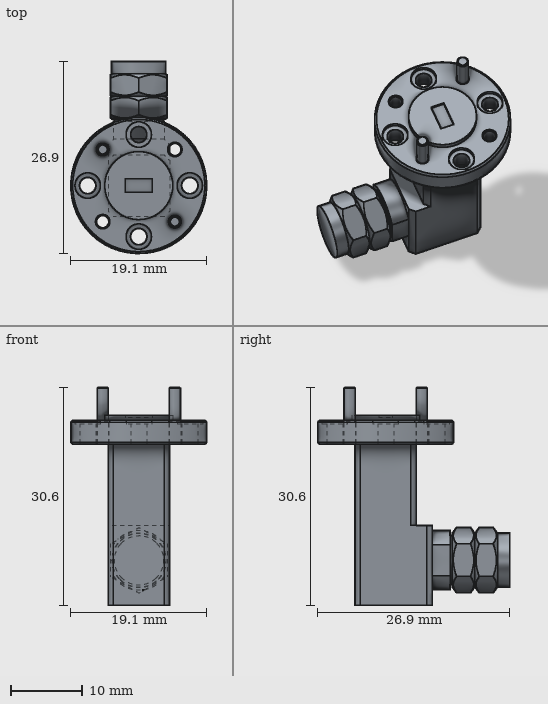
import cadquery as cq
import math


flange_diameter = 19.05
flange_bottom = 22.57
flange_top = 25.93
flange_thickness = flange_top - flange_bottom
flange_chamfer = 0.27
boss_diameter = 9.53
boss_height = 0.73

window_length = 3.82
window_width = 1.9
window_depth = 0.3

hole_circle_radius = 7.15
screw_hole_diameter = 2.25
counterbore_diameter = 3.57
counterbore_depth = 0.5
dowel_hole_diameter = 1.7
dowel_hole_chamfer = 0.15
screw_hole_angles = (0, 90, 180, 270)
dowel_hole_angles = (45, 225)
pin_angles = (135, 315)

pin_diameter = 1.6
pin_top = 30.55
pin_top_chamfer = 0.15
pin_hole_chamfer = 0.107

column_width = 8.6
corner_chamfer = 0.75
foot_front = 6.55
foot_height = 11.2

connector_height = 6.35
connector_end = 17.4
collar_radius = 4.18
collar_flat_distance = 3.57
collar_end = 9.05
neck_radius = 3.45
nut_across_flats = 7.95
nut_end_radius = 3.75
nut_chamfer_length = 0.6
nut_length = 3.18
nut_count = 2
nut_sides = 6
nuts_start = 9.3
nuts_end = nuts_start + nut_count * nut_length
sleeve_radius = 3.82


def circle_point(angle):
    """Point on the hole circle at an angle from +X."""
    turn = math.radians(angle)
    return hole_circle_radius * math.cos(turn), hole_circle_radius * math.sin(turn)


def upright_cylinder(diameter, bottom, height, center=(0, 0)):
    return cq.Workplane("XY", origin=(*center, bottom)).circle(diameter / 2).extrude(height)


def connector_plane(y):
    """Sketch plane across the connector axis, extruding toward +Y; local x is -X, local y is Z."""
    return cq.Workplane(cq.Plane(origin=(0, y, connector_height), xDir=(-1, 0, 0), normal=(0, 1, 0)))


def make_flange():
    disc = upright_cylinder(flange_diameter, flange_bottom, flange_thickness).edges().chamfer(flange_chamfer)
    return disc.union(upright_cylinder(boss_diameter, flange_top, boss_height))


def make_column():
    column = (
        cq.Workplane("XY")
        .rect(column_width, column_width)
        .extrude(flange_bottom)
        .edges("|Z")
        .chamfer(corner_chamfer)
    )
    foot = (
        cq.Workplane("XY")
        .center(0, foot_front / 2)
        .rect(column_width, foot_front)
        .extrude(foot_height)
        .edges("|Z and >Y")
        .chamfer(corner_chamfer)
    )
    return column.union(foot)


def make_nut(start):
    """Hexagon with corners up and down, both ends turned to a cone."""
    corner_radius = nut_across_flats / 2 / math.cos(math.pi / nut_sides)
    hexagon = (
        connector_plane(start)
        .transformed(rotate=(0, 0, 90))
        .polygon(nut_sides, 2 * corner_radius)
        .extrude(nut_length)
    )
    end = start + nut_length
    turned_blank = (
        cq.Workplane("XY", origin=(0, 0, connector_height))
        .moveTo(0, start)
        .lineTo(nut_end_radius, start)
        .lineTo(corner_radius, start + nut_chamfer_length)
        .lineTo(corner_radius, end - nut_chamfer_length)
        .lineTo(nut_end_radius, end)
        .lineTo(0, end)
        .close()
        .revolve(360, (0, 0, 0), (0, 1, 0))
    )
    return hexagon.intersect(turned_blank)


def make_connector():
    collar_length = collar_end - foot_front
    collar_flats = connector_plane(foot_front).rect(2 * collar_flat_distance, 2 * collar_radius)
    connector = (
        connector_plane(foot_front)
        .circle(collar_radius)
        .extrude(collar_length)
        .intersect(collar_flats.extrude(collar_length))
    )
    neck = connector_plane(collar_end).circle(neck_radius).extrude(nuts_start - collar_end)
    connector = connector.union(neck)
    for index in range(nut_count):
        connector = connector.union(make_nut(nuts_start + index * nut_length))
    sleeve = connector_plane(nuts_end).circle(sleeve_radius).extrude(connector_end - nuts_end)
    return connector.union(sleeve)


def countersunk_hole(diameter, chamfer, center):
    """Cutter for a hole through the flange with a chamfered rim on top."""
    radius = diameter / 2
    hole = upright_cylinder(diameter, flange_bottom, flange_thickness, center)
    countersink = cq.Solid.makeCone(radius, radius + chamfer, chamfer, cq.Vector(*center, flange_top - chamfer))
    return hole.union(cq.Workplane(countersink))


def counterbored_hole(center):
    """Cutter for a screw hole through the flange with a flat recess on top."""
    hole = upright_cylinder(screw_hole_diameter, flange_bottom, flange_thickness, center)
    recess_bottom = flange_top - counterbore_depth
    return hole.union(upright_cylinder(counterbore_diameter, recess_bottom, counterbore_depth, center))


def make_housing():
    flange = make_flange()
    for angle in screw_hole_angles:
        flange = flange.cut(counterbored_hole(circle_point(angle)))
    for angle in dowel_hole_angles:
        flange = flange.cut(countersunk_hole(dowel_hole_diameter, dowel_hole_chamfer, circle_point(angle)))
    for angle in pin_angles:
        flange = flange.cut(countersunk_hole(pin_diameter, pin_hole_chamfer, circle_point(angle)))

    window_bottom = flange_top + boss_height - window_depth
    window = (
        cq.Workplane("XY", origin=(0, 0, window_bottom))
        .rect(window_length, window_width)
        .extrude(window_depth)
    )
    return flange.cut(window).union(make_column()).union(make_connector())


def make_pin(center):
    """Dowel pin, flush with the underside of the flange."""
    pin = upright_cylinder(pin_diameter, flange_bottom, pin_top - flange_bottom, center)
    return pin.faces(">Z").chamfer(pin_top_chamfer)


housing = make_housing()
pins = [make_pin(circle_point(angle)) for angle in pin_angles]

result = cq.Compound.makeCompound([housing.val(), *[pin.val() for pin in pins]])